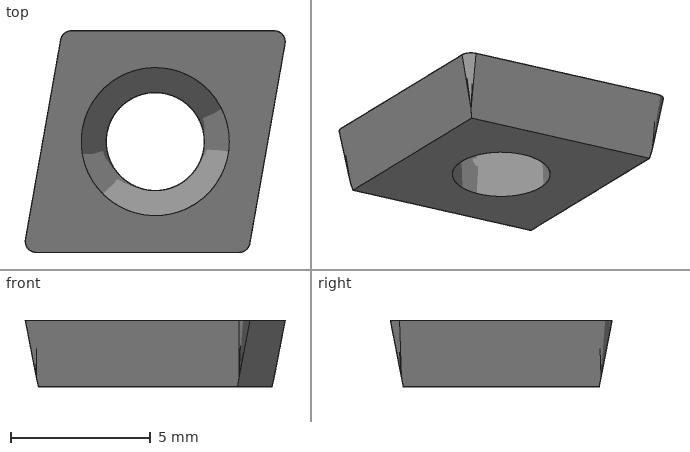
import cadquery as cq
import math

inscribed_circle = 7.94
thickness = 2.38
nose_angle = 80.0
clearance_angle = 11.0
nose_radius = 0.4

bore_diameter = 3.5
seat_diameter = 5.3
seat_half_angle = 40.0
throat_radius = 0.6

nose_depth = nose_radius / math.tan(math.radians(clearance_angle))


def rhombus_corners(half_width):
    """Corners of a rhombus around the axis, counter-clockwise from the lower left acute corner."""
    half_angle = math.radians(nose_angle / 2)
    acute = half_width / math.sin(half_angle)
    obtuse = half_width / math.cos(half_angle)
    corner_distances = (acute, obtuse, acute, obtuse)
    corners = []
    for quarter, distance in enumerate(corner_distances):
        direction = math.pi + half_angle + quarter * math.pi / 2
        corners.append((distance * math.cos(direction), distance * math.sin(direction)))
    return corners


def sharp_body():
    """Tapered rhombic body with sharp corners, widest at the top."""
    shrink = thickness * math.tan(math.radians(clearance_angle))
    top_half_width = inscribed_circle / 2
    return (
        cq.Workplane("XY")
        .polyline(rhombus_corners(top_half_width - shrink))
        .close()
        .workplane(offset=thickness)
        .polyline(rhombus_corners(top_half_width))
        .close()
        .loft(ruled=True)
    )


def round_corner(body, corner, nose_center, corner_angle):
    """Replace one sharp corner by a conical nose that tapers to a point."""
    outward = math.atan2(corner[1] - nose_center[1], corner[0] - nose_center[0])
    half_sweep = math.radians(90 - corner_angle / 2)
    tangent_points = []
    for turn in (-half_sweep, half_sweep):
        x = nose_center[0] + nose_radius * math.cos(outward + turn)
        y = nose_center[1] + nose_radius * math.sin(outward + turn)
        tangent_points.append((x, y))

    corner_block = (
        cq.Workplane("XY", origin=(0, 0, thickness - nose_depth))
        .polyline([nose_center, tangent_points[0], corner, tangent_points[1]])
        .close()
        .extrude(nose_depth)
    )
    nose = (
        cq.Workplane("XZ")
        .moveTo(0, thickness - nose_depth)
        .lineTo(nose_radius, thickness)
        .lineTo(0, thickness)
        .close()
        .revolve(2 * math.degrees(half_sweep), (0, 0), (0, -1))
        .rotate((0, 0, 0), (0, 0, 1), math.degrees(outward + half_sweep))
        .translate(nose_center)
    )
    return body.cut(corner_block).union(nose)


def screw_hole():
    """Revolved volume of the bore, its rounded throat and the conical seat."""
    slope = math.radians(seat_half_angle)
    bore_radius = bore_diameter / 2
    seat_radius = seat_diameter / 2

    def throat_offset(angle):
        return throat_radius * (1 - math.cos(angle))

    throat_top_radius = bore_radius + throat_offset(slope)
    throat_top = thickness - (seat_radius - throat_top_radius) / math.tan(slope)
    throat_bottom = throat_top - throat_radius * math.sin(slope)
    throat_middle = (
        bore_radius + throat_offset(slope / 2),
        throat_bottom + throat_radius * math.sin(slope / 2),
    )
    return (
        cq.Workplane("XZ")
        .lineTo(bore_radius, 0)
        .lineTo(bore_radius, throat_bottom)
        .threePointArc(throat_middle, (throat_top_radius, throat_top))
        .lineTo(seat_radius, thickness)
        .lineTo(0, thickness)
        .close()
        .revolve(360, (0, 0), (0, 1))
    )


insert = sharp_body()
corners = rhombus_corners(inscribed_circle / 2)
nose_centers = rhombus_corners(inscribed_circle / 2 - nose_radius)
corner_angles = (nose_angle, 180 - nose_angle, nose_angle, 180 - nose_angle)
for corner, nose_center, corner_angle in zip(corners, nose_centers, corner_angles):
    insert = round_corner(insert, corner, nose_center, corner_angle)

result = insert.cut(screw_hole())